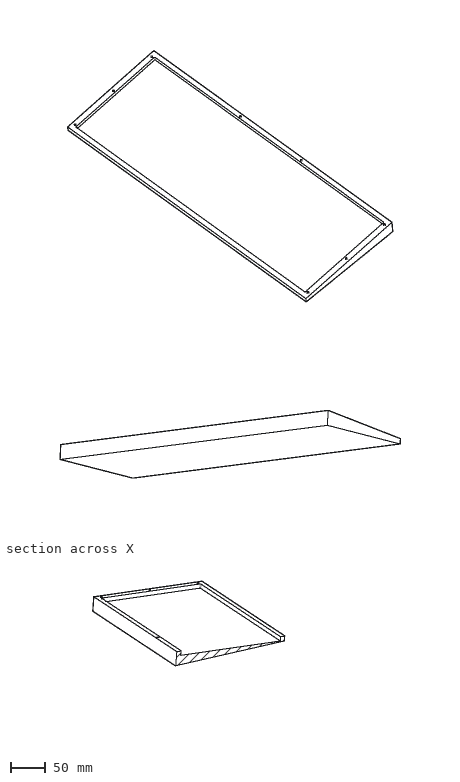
import cadquery as cq
import math

width = 470.0
depth = 182.2
height = 22.27
tilt = 4.5

rim_side = 9.0
rim_end = 7.75
recess_depth = 6.5
recess_corner_radius = 1.0

hole_diameter = 2.58
hole_depth = 6.0
hole_side_inset = 5.5
hole_end_inset = 10.0
hole_rear_inset = 4.5
rear_hole_spacing = 120.0

slope = math.tan(math.radians(tilt))
rear_bottom_y = depth / 2
rear_top_y = rear_bottom_y - height * slope
front_top_y = -depth / 2
front_top_z = height - (rear_top_y - front_top_y) * slope
front_bottom_y = front_top_y + front_top_z * slope
top_length = (rear_top_y - front_top_y) / math.cos(math.radians(tilt))


def top_face_plane():
    """Plane of the sloping top: origin mid-width on the front edge, local Y towards the rear."""
    plane = cq.Plane(origin=(0, front_top_y, front_top_z), xDir=(1, 0, 0), normal=(0, 0, 1))
    return plane.rotated((tilt, 0, 0))


def wedge_body():
    profile = [
        (front_bottom_y, 0),
        (rear_bottom_y, 0),
        (rear_top_y, height),
        (front_top_y, front_top_z),
    ]
    return cq.Workplane("YZ").polyline(profile).close().extrude(width / 2, both=True)


def tray_recess():
    recess_width = width - 2 * rim_side
    recess_length = top_length - 2 * rim_end
    return (
        cq.Workplane(top_face_plane())
        .center(0, top_length / 2)
        .rect(recess_width, recess_length)
        .extrude(-recess_depth)
        .edges(cq.selectors.ParallelDirSelector(top_face_plane().zDir))
        .fillet(recess_corner_radius)
    )


def screw_holes():
    side_x = width / 2 - hole_side_inset
    side_rows = [hole_end_inset, top_length / 2, top_length - hole_end_inset]
    points = [(x, y) for x in (-side_x, side_x) for y in side_rows]
    rear_x = rear_hole_spacing / 2
    points += [(x, top_length - hole_rear_inset) for x in (-rear_x, rear_x)]
    return cq.Workplane(top_face_plane()).pushPoints(points).circle(hole_diameter / 2).extrude(-hole_depth)


result = wedge_body().cut(tray_recess()).cut(screw_holes())